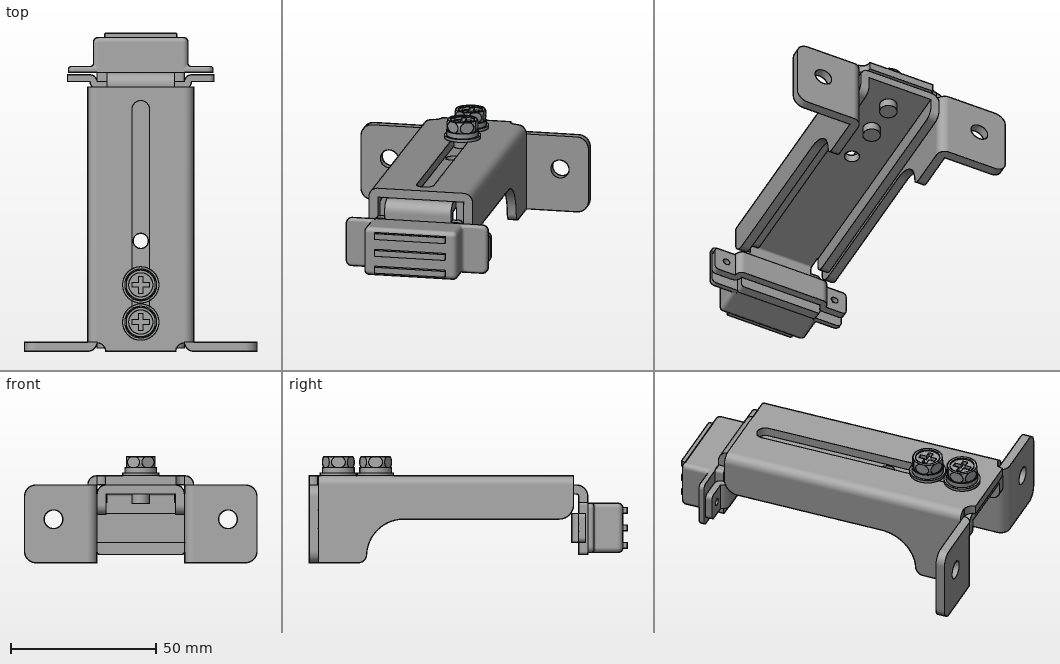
import cadquery as cq
import math

SHEET = 3.2
CHANNEL_INNER = 30.1
HALF_INNER = CHANNEL_INNER / 2
BRACKET_WIDTH = CHANNEL_INNER + 2 * SHEET

BRACKET_HEIGHT = 30.0
BRACKET_LENGTH = 91.0
WALL_FLOOR = BRACKET_HEIGHT / 2
WALL_END_RADIUS = 5.0
SWEEP_RADIUS = 12.7
SWEEP_CENTRE_Y = 32.5
FOOT_Y = SWEEP_CENTRE_Y - math.sqrt(SWEEP_RADIUS**2 - (WALL_FLOOR - SWEEP_RADIUS) ** 2)
FOOT_RADIUS = 3.0
EAR_SPAN = 80.0
EAR_TOP = BRACKET_HEIGHT - SHEET
EAR_CORNER_RADIUS = 4.0
EAR_HOLE_DIAMETER = 6.4
EAR_HOLE_SPACING = 60.0
RELIEF_RADIUS = 3.0
SLOT_WIDTH = 6.0
SLOT_END = 86.3

BOLT_POSITIONS = (10.1, 22.9)
SHANK_DIAMETER = SLOT_WIDTH
SHANK_TIP = 20.5
WASHER_DIAMETER = 12.5
WASHER_THICKNESS = 1.0
SPRING_DIAMETER = 11.0
SPRING_THICKNESS = 1.8
HEAD_HEIGHT = 3.8
HEAD_FLATS = 10.0
HEAD_END_DIAMETER = 10.1
HEAD_BULGE_DIAMETER = 11.1
DISH_DIAMETER = 8.3
DISH_DEPTH = 0.4
CROSS_LENGTH = 5.9
CROSS_WIDTH = 1.6
CROSS_DEPTH = 1.5
WASHER_TOP = BRACKET_HEIGHT + WASHER_THICKNESS
HEAD_BASE = WASHER_TOP + SPRING_THICKNESS
HEAD_TOP = HEAD_BASE + HEAD_HEIGHT

ARM_FRONT = 1.1
ARM_TOP = EAR_TOP
ARM_HEIGHT = 10.2
ARM_CHANNEL_END = BRACKET_LENGTH - SHEET
ARM_HOLE_DIAMETER = 5.1
ARM_HOLE_Y = 38.0
TONGUE_WIDTH = 23.3
TONGUE_INNER_RADIUS = 0.9
PLATE_BACK = 95.9
PLATE_FRONT = PLATE_BACK - SHEET
PLATE_TOP = 20.8
PLATE_BOTTOM = 2.8
PLATE_CORNER_RADIUS = 1.0

LATCH_Z = 12.0
CLIP_THICKNESS = 2.4
CLIP_SPAN = 50.5
CLIP_HEIGHT = 10.0
CLIP_CORNER_RADIUS = 1.5
CLIP_HOLE_DIAMETER = 2.5
CLIP_HOLE_SPACING = 41.6
FLANGE_WIDTH = 49.8
FLANGE_THICKNESS = 2.1
FLANGE_CORNER_RADIUS = 2.0
FLANGE_ROUND = 1.0
CASE_WIDTH = 32.6
CASE_HEIGHT = 17.0
CASE_BACK = 108.0
CASE_ROUND = 1.6
RIB_WIDTH = 24.9
RIB_HEIGHT = 2.1
RIB_BACK = 109.5
RIB_ROUND = 0.5
RIB_PITCH = 6.0


def box(x, y, z):
    """Box from its (low, high) limits along each axis."""
    return cq.Workplane("XY").box(x[1] - x[0], y[1] - y[0], z[1] - z[0], centered=False).translate(
        (x[0], y[0], z[0])
    )


def wide_box(width, y, z):
    """Box centred on the YZ plane."""
    return box((-width / 2, width / 2), y, z)


def vertical_cylinder(diameter, y, low, high):
    return cq.Workplane("XY", origin=(0, y, low)).circle(diameter / 2).extrude(high - low)


def cylinder_pair(diameter, spacing, z, y):
    """Pair of cylinders along Y, placed symmetrically."""
    return (
        cq.Workplane("XZ", origin=(0, y[1], 0))
        .pushPoints([(-spacing / 2, z), (spacing / 2, z)])
        .circle(diameter / 2)
        .extrude(y[1] - y[0])
    )


def both_sides(right_half):
    """A shape on the +X side together with its mirror image."""
    return right_half.union(right_half.mirror("YZ"))


def channel(outer_width, top, height, y):
    """Downward-opening sheet channel, rounded outside its two bends and sharp inside."""
    outer = wide_box(outer_width, y, (top - height, top)).edges("|Y and >Z").fillet(SHEET)
    inside = wide_box(outer_width - 2 * SHEET, y, (top - height, top - SHEET))
    return outer.cut(inside)


def edges_centred_near(half_span_x, y, z):
    """Selector for edges whose midpoint lies at (y, z), within a span across X."""
    reach = 0.1
    return cq.selectors.BoxSelector(
        (-half_span_x - reach, y - reach, z - reach),
        (half_span_x + reach, y + reach, z + reach),
    )


def round_cross_edges(shape, y, z, radius):
    """Round the edges along X that pass through one (y, z) place."""
    return shape.edges("|X").edges(edges_centred_near(BRACKET_WIDTH / 2, y, z)).fillet(radius)


def wall_clearance():
    """Space below the shallow part of the bracket walls, through the full width."""
    sweep_centre_z = WALL_FLOOR - SWEEP_RADIUS
    middle = SWEEP_RADIUS * math.sqrt(0.5)
    return (
        cq.Workplane("YZ", origin=(-BRACKET_WIDTH / 2, 0, 0))
        .moveTo(FOOT_Y, 0)
        .threePointArc((SWEEP_CENTRE_Y - middle, sweep_centre_z + middle), (SWEEP_CENTRE_Y, WALL_FLOOR))
        .lineTo(BRACKET_LENGTH, WALL_FLOOR)
        .lineTo(BRACKET_LENGTH, 0)
        .close()
        .extrude(BRACKET_WIDTH)
    )


def ear():
    """Right-hand ear with the bend that joins it to the wall."""
    middle = SHEET * math.sqrt(0.5)
    bend_x = HALF_INNER + SHEET
    return (
        cq.Workplane("XY")
        .moveTo(HALF_INNER, SHEET)
        .threePointArc((bend_x - middle, SHEET - middle), (bend_x, 0))
        .lineTo(EAR_SPAN / 2, 0)
        .lineTo(EAR_SPAN / 2, SHEET)
        .close()
        .extrude(EAR_TOP)
        .edges("|Y and >X")
        .fillet(EAR_CORNER_RADIUS)
    )


def make_bracket():
    walls = channel(BRACKET_WIDTH, BRACKET_HEIGHT, BRACKET_HEIGHT, (SHEET, BRACKET_LENGTH))
    walls = walls.cut(wall_clearance())
    walls = round_cross_edges(walls, BRACKET_LENGTH, WALL_FLOOR, WALL_END_RADIUS)
    walls = round_cross_edges(walls, FOOT_Y, 0, FOOT_RADIUS)

    nose = wide_box(CHANNEL_INNER, (0, SHEET), (EAR_TOP, BRACKET_HEIGHT))
    reliefs = (
        cq.Workplane("XY", origin=(0, 0, EAR_TOP))
        .pushPoints([(-HALF_INNER, 0), (HALF_INNER, 0)])
        .circle(RELIEF_RADIUS)
        .extrude(SHEET)
    )
    bracket = walls.union(nose.cut(reliefs)).union(both_sides(ear()))
    bracket = bracket.cut(
        cylinder_pair(EAR_HOLE_DIAMETER, EAR_HOLE_SPACING, BRACKET_HEIGHT / 2, (0, SHEET))
    )
    slot_start = BOLT_POSITIONS[0] - SLOT_WIDTH / 2
    slot = (
        cq.Workplane("XY", origin=(0, (slot_start + SLOT_END) / 2, EAR_TOP))
        .slot2D(SLOT_END - slot_start, SLOT_WIDTH, angle=90)
        .extrude(SHEET)
    )
    return bracket.cut(slot)


def make_arm():
    arm = channel(CHANNEL_INNER, ARM_TOP, ARM_HEIGHT, (ARM_FRONT, ARM_CHANNEL_END))
    arm = arm.edges("|X and <Z").fillet(SHEET)

    level = wide_box(TONGUE_WIDTH, (ARM_CHANNEL_END, PLATE_BACK), (ARM_TOP - SHEET, ARM_TOP))
    drop = wide_box(TONGUE_WIDTH, (PLATE_FRONT, PLATE_BACK), (PLATE_TOP, ARM_TOP))
    tongue = level.union(drop)
    tongue = tongue.edges("|X and >Y and >Z").fillet(TONGUE_INNER_RADIUS + SHEET)
    tongue = round_cross_edges(tongue, PLATE_FRONT, ARM_TOP - SHEET, TONGUE_INNER_RADIUS)

    plate = wide_box(CHANNEL_INNER, (PLATE_FRONT, PLATE_BACK), (PLATE_BOTTOM, PLATE_TOP))
    plate = plate.edges("|Y").fillet(PLATE_CORNER_RADIUS)

    arm = arm.union(tongue).union(plate)
    arm = arm.cut(vertical_cylinder(ARM_HOLE_DIAMETER, ARM_HOLE_Y, ARM_TOP - SHEET, ARM_TOP))
    for y in BOLT_POSITIONS:
        arm = arm.cut(vertical_cylinder(SHANK_DIAMETER, y, ARM_TOP - SHEET, ARM_TOP))
    return arm


def ring(diameter, y, low, high):
    """Washer that fits closely on the shank."""
    return vertical_cylinder(diameter, y, low, high).cut(vertical_cylinder(SHANK_DIAMETER, y, low, high))


def make_washer(y):
    return ring(WASHER_DIAMETER, y, BRACKET_HEIGHT, WASHER_TOP)


def make_spring_washer(y):
    return ring(SPRING_DIAMETER, y, WASHER_TOP, HEAD_BASE)


def make_bolt(y):
    end = HEAD_END_DIAMETER / 2
    barrel = (
        cq.Workplane("XZ")
        .moveTo(0, HEAD_BASE)
        .lineTo(end, HEAD_BASE)
        .threePointArc((HEAD_BULGE_DIAMETER / 2, HEAD_BASE + HEAD_HEIGHT / 2), (end, HEAD_TOP))
        .lineTo(0, HEAD_TOP)
        .close()
        .revolve(360, (0, 0, 0), (0, 1, 0))
    )
    hexagon = (
        cq.Workplane("XY", origin=(0, 0, HEAD_BASE))
        .polygon(6, HEAD_FLATS, circumscribed=True)
        .extrude(HEAD_HEIGHT)
    )
    dish_floor = HEAD_TOP - DISH_DEPTH
    cross_floor = dish_floor - CROSS_DEPTH
    head = barrel.intersect(hexagon)
    head = head.cut(vertical_cylinder(DISH_DIAMETER, 0, dish_floor, HEAD_TOP))
    half_length = CROSS_LENGTH / 2
    half_width = CROSS_WIDTH / 2
    head = head.cut(wide_box(CROSS_LENGTH, (-half_width, half_width), (cross_floor, dish_floor)))
    head = head.cut(wide_box(CROSS_WIDTH, (-half_length, half_length), (cross_floor, dish_floor)))
    return head.union(vertical_cylinder(SHANK_DIAMETER, 0, SHANK_TIP, HEAD_BASE)).translate((0, y, 0))


def make_clip():
    """Strap across the arm plate, stepped back at both sides into drilled wings."""
    t = CLIP_THICKNESS
    front = PLATE_FRONT - t
    back = PLATE_FRONT + t
    middle = t * math.sqrt(0.5)
    step_inner = HALF_INNER
    step_outer = HALF_INNER + t
    half = (
        cq.Workplane("XY", origin=(0, 0, LATCH_Z - CLIP_HEIGHT / 2))
        .moveTo(0, front)
        .lineTo(step_inner, front)
        .threePointArc((step_inner + middle, PLATE_FRONT - middle), (step_outer, PLATE_FRONT))
        .lineTo(CLIP_SPAN / 2, PLATE_FRONT)
        .lineTo(CLIP_SPAN / 2, back)
        .lineTo(step_outer, back)
        .threePointArc((step_outer - middle, PLATE_FRONT + middle), (step_inner, PLATE_FRONT))
        .lineTo(0, PLATE_FRONT)
        .close()
        .extrude(CLIP_HEIGHT)
        .edges("|Y and >X")
        .fillet(CLIP_CORNER_RADIUS)
    )
    holes = cylinder_pair(CLIP_HOLE_DIAMETER, CLIP_HOLE_SPACING, LATCH_Z, (PLATE_FRONT, back))
    return both_sides(half).cut(holes)


def make_case():
    z = (LATCH_Z - CASE_HEIGHT / 2, LATCH_Z + CASE_HEIGHT / 2)
    flange_back = PLATE_BACK + FLANGE_THICKNESS
    flange = wide_box(FLANGE_WIDTH, (PLATE_BACK, flange_back), z)
    flange = flange.edges("|Y").fillet(FLANGE_CORNER_RADIUS).faces(">Y").edges().fillet(FLANGE_ROUND)
    body = wide_box(CASE_WIDTH, (PLATE_BACK, CASE_BACK), z)
    body = body.edges("|Y or >Y").fillet(CASE_ROUND)
    case = flange.union(body)
    root = edges_centred_near(CASE_WIDTH / 2, flange_back, LATCH_Z)
    case = case.edges("|Z").edges(root).fillet(FLANGE_ROUND)
    for row in (-1, 0, 1):
        rib_z = LATCH_Z + row * RIB_PITCH
        rib = wide_box(RIB_WIDTH, (CASE_BACK, RIB_BACK), (rib_z - RIB_HEIGHT / 2, rib_z + RIB_HEIGHT / 2))
        case = case.union(rib.edges("|Z and >Y").fillet(RIB_ROUND))
    return case


bracket = make_bracket()
arm = make_arm()
clip = make_clip()
case = make_case()
bolts = [make_bolt(y) for y in BOLT_POSITIONS]
spring_washers = [make_spring_washer(y) for y in BOLT_POSITIONS]
washers = [make_washer(y) for y in BOLT_POSITIONS]

fasteners = [*bolts, *spring_washers, *washers]
result = cq.Compound.makeCompound(
    [bracket.val(), arm.val(), clip.val(), case.val(), *[item.val() for item in fasteners]]
)